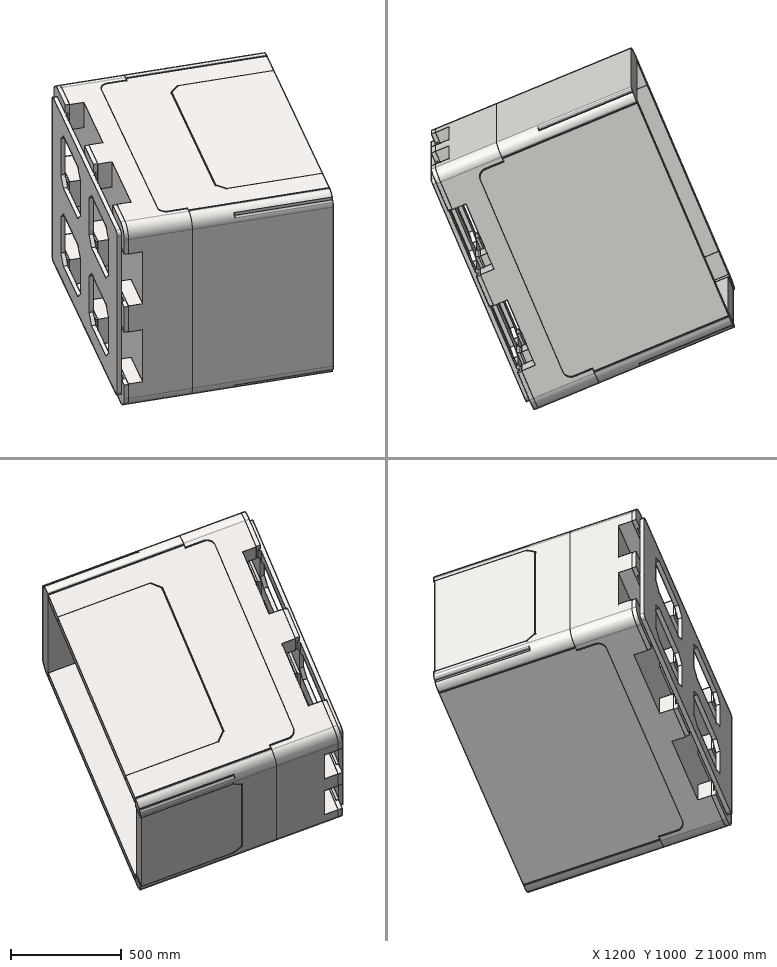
import cadquery as cq
import math

LENGTH = 1200.0
WIDTH = 1000.0
HEIGHT = 1000.0
CORNER_RADIUS = 60.0

PLATE_TOP = 20.0
FEET_TOP = 41.0
CHANNEL_ROOF = 107.0
FLOOR = 210.0
RIM = 340.0
DOOR_SILL = 506.0
CORNER_STEP_START = 540.0

SIDE_WALL = 65.0
END_WALL = 60.0
GAP = 5.0
NOTCH_INSET = 80.0
NOTCH_RADIUS = 40.0

DOORWAY_WIDTH = 830.0
DOORWAY_CHAMFER = 41.0

CORNER_STEP_X = 18.0
CORNER_STEP_Z = 32.0
CORNER_STEP_ROUND = 8.0

CHANNEL_X = 325.0
CHANNEL_Z = 288.0
CENTRE_POST_X = 155.0
CENTRE_POST_Z = 144.0
FOOT_INSET = 2.0
PLATE_INSET = 45.0
PLATE_RADIUS = 20.0
WINDOW_X = 331.0
WINDOW_CHAMFER = 43.0
FOOT_FLARE = 12.0

CHANNEL_CENTRE_X = (CENTRE_POST_X + CHANNEL_X) / 2
CHANNEL_CENTRE_Z = (CENTRE_POST_Z + CHANNEL_Z) / 2
END_WALL_LENGTH = LENGTH - 2 * (SIDE_WALL + GAP)
NOTCH_WIDTH = LENGTH - 2 * NOTCH_INSET
INNER_WIDTH = WIDTH - 2 * END_WALL
LEDGE_INSET = CORNER_RADIUS - math.sqrt(CORNER_RADIUS**2 - (CORNER_RADIUS - CORNER_STEP_Z) ** 2)


def block(size_x, size_z, bottom, top):
    """Block centred on the Y axis, between two levels."""
    height = top - bottom
    return cq.Workplane("XY").box(size_x, height, size_z).translate((0, (bottom + top) / 2, 0))


def rounded_block(size_x, size_z, bottom, top, radius):
    """Block with its four edges along Y rounded."""
    return block(size_x, size_z, bottom, top).edges("|Y").fillet(radius)


def channels(bottom, top, widening=0.0, floor_chamfer=0.0):
    """The two channels along X and the two along Z, crossing each other."""
    along_z = block(CHANNEL_X + widening, WIDTH, bottom, top)
    along_x = block(LENGTH, CHANNEL_Z + widening, bottom, top)
    if floor_chamfer > 0:
        along_z = along_z.edges("|Z and <Y").chamfer(floor_chamfer)
        along_x = along_x.edges("|X and <Y").chamfer(floor_chamfer)
    cutter = cq.Workplane("XY")
    for sign in (-1, 1):
        cutter = cutter.add(along_z.translate((sign * CHANNEL_CENTRE_X, 0, 0)))
        cutter = cutter.add(along_x.translate((0, 0, sign * CHANNEL_CENTRE_Z)))
    return cutter.combine()


def doorway_block(sill, top, thickness):
    """Block across Z that fills a doorway, with its two lower corners chamfered."""
    return block(DOORWAY_WIDTH, thickness, sill, top).edges("|Z and <Y").chamfer(DOORWAY_CHAMFER)


def to_end(shape, sign, thickness):
    """Moves a centred shape against the outer face on the +Z or -Z side."""
    return shape.translate((0, 0, sign * (WIDTH - thickness) / 2))


def to_left(shape):
    """Turns a centred shape from facing Z to facing X and moves it against the -X outer face."""
    return shape.rotate((0, 0, 0), (0, 1, 0), 90).translate(((SIDE_WALL - LENGTH) / 2, 0, 0))


def tongue(width):
    """Lower part of an end wall that sits in the rim notch, with its bottom corners rounded."""
    return block(width, END_WALL, FLOOR, RIM).edges("|Z and <Y").fillet(NOTCH_RADIUS)


def plate_block(bottom, top):
    """Block with the outline of the bottom plate."""
    return rounded_block(
        LENGTH - 2 * PLATE_INSET, WIDTH - 2 * PLATE_INSET, bottom, top, PLATE_RADIUS
    )


def make_plate():
    """Bottom plate with a window below each crossing of the channels."""
    plate = plate_block(0, PLATE_TOP)
    window = block(WINDOW_X, CHANNEL_Z, 0, PLATE_TOP).edges("|Y").chamfer(WINDOW_CHAMFER)
    for x in (-CHANNEL_CENTRE_X, CHANNEL_CENTRE_X):
        for z in (-CHANNEL_CENTRE_Z, CHANNEL_CENTRE_Z):
            plate = plate.cut(window.translate((x, 0, z)))
    return plate


def make_feet():
    """Foot layer, whose feet stand upright outside the plate and spread out onto it inside."""
    feet = rounded_block(LENGTH, WIDTH, PLATE_TOP, FEET_TOP, CORNER_RADIUS)
    over_plate = plate_block(PLATE_TOP, FEET_TOP)
    upright = channels(PLATE_TOP, FEET_TOP, 2 * FOOT_INSET).cut(over_plate)
    flared = channels(PLATE_TOP, FEET_TOP, 2 * FOOT_INSET, FOOT_FLARE).intersect(over_plate)
    return feet.cut(upright).cut(flared)


def make_skid():
    """Bottom plate and the layer of feet on it, as one body."""
    return make_plate().union(make_feet())


def make_base():
    """Tray that holds the floor, the channels and a rim notched for the two end walls."""
    base = rounded_block(LENGTH, WIDTH, FEET_TOP, RIM, CORNER_RADIUS)
    base = base.cut(channels(FEET_TOP, CHANNEL_ROOF))
    base = base.cut(block(LENGTH - 2 * SIDE_WALL, INNER_WIDTH, FLOOR, RIM))
    for sign in (-1, 1):
        base = base.cut(to_end(tongue(NOTCH_WIDTH), sign, END_WALL))
    return base


def make_side_wall(sign):
    """Wall across X that carries two of the box corners; sign picks the -X or +X side."""
    wall = rounded_block(LENGTH, WIDTH, RIM, HEIGHT, CORNER_RADIUS)
    slab = block(SIDE_WALL, WIDTH, RIM, HEIGHT)
    wall = wall.intersect(slab.translate((sign * (LENGTH - SIDE_WALL) / 2, 0, 0)))
    step = block(2 * CORNER_STEP_X, 2 * CORNER_STEP_Z, CORNER_STEP_START, HEIGHT)
    for z in (-WIDTH / 2, WIDTH / 2):
        wall = wall.cut(step.translate((sign * LENGTH / 2, 0, z)))
    ledge_x = sign * (LENGTH / 2 - LEDGE_INSET)
    ledge_y = (CORNER_STEP_START + HEIGHT) / 2
    for side in (-1, 1):
        ledge_z = side * (WIDTH / 2 - CORNER_STEP_Z)
        ledge = cq.NearestToPointSelector((ledge_x, ledge_y, ledge_z))
        wall = wall.edges("|Y").edges(ledge).fillet(CORNER_STEP_ROUND)
    return wall


def make_end_wall(sign):
    """Wall across Z whose tongue reaches down to the floor; sign picks the -Z or +Z side."""
    panel = block(END_WALL_LENGTH, END_WALL, RIM, HEIGHT)
    wall = panel.union(tongue(NOTCH_WIDTH - 2 * GAP))
    return to_end(wall, sign, END_WALL)


skid = make_skid()
base = make_base()

left_doorway = to_left(doorway_block(DOOR_SILL, HEIGHT, SIDE_WALL))
left_wall = make_side_wall(-1).cut(left_doorway)
right_wall = make_side_wall(1)

upper_doorway = to_end(doorway_block(DOOR_SILL, HEIGHT, END_WALL), 1, END_WALL)
upper_wall = make_end_wall(1).cut(upper_doorway)
lower_wall = make_end_wall(-1)

left_door = to_left(doorway_block(DOOR_SILL + GAP, HEIGHT - GAP, SIDE_WALL))
upper_door = to_end(doorway_block(DOOR_SILL + GAP, HEIGHT, END_WALL), 1, END_WALL)

bodies = (skid, base, left_wall, right_wall, upper_wall, lower_wall, left_door, upper_door)
result = cq.Compound.makeCompound([body.val() for body in bodies])